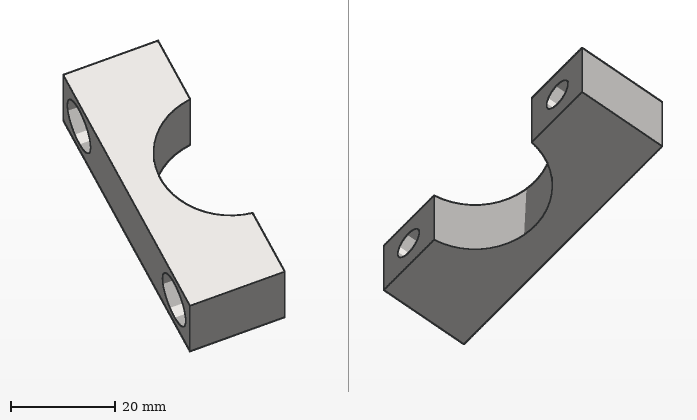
import cadquery as cq

length = 60.0
depth = 20.0
height = 15.0

saddle_radius = 14.9
saddle_wall = 7.1
saddle_center_y = saddle_wall + saddle_radius

bolt_spacing = 45.0
bolt_diameter = 6.5
counterbore_diameter = 11.0
counterbore_depth = 6.5


def make_block():
    """Block centred on X and Z, with its front face at Y = 0."""
    return cq.Workplane("XY").box(length, depth, height, centered=(True, False, True))


def cut_saddle(body):
    cutter = (
        cq.Workplane("XY")
        .center(0, saddle_center_y)
        .circle(saddle_radius)
        .extrude(height, both=True)
    )
    return body.cut(cutter)


def cut_bolt_holes(body):
    return (
        body.faces("<Y")
        .workplane(origin=(0, 0, 0))
        .rarray(bolt_spacing, 0.6, 2, 1)
        .cboreHole(bolt_diameter, counterbore_diameter, counterbore_depth)
    )


result = cut_bolt_holes(cut_saddle(make_block()))